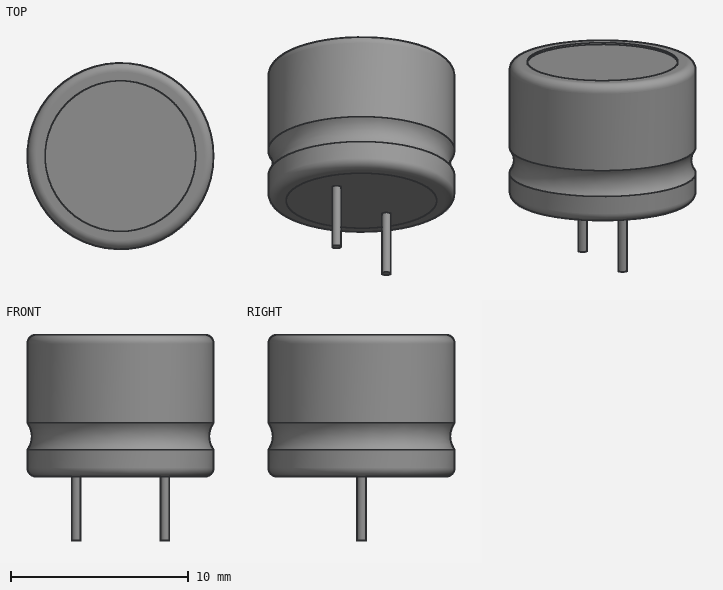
import cadquery as cq

total_height = 11.6
case_height = 8.0
case_radius = 5.25
edge_radius = 0.5

groove_bottom = 1.52
groove_top = 3.03
groove_depth = 0.24

core_radius = 4.25
core_recess = 0.1

lead_radius = 0.25
lead_spacing = 5.0
lead_length = total_height - case_height


def make_sleeve():
    """Outer sleeve with rounded rims, a crimp groove and a plain bore."""
    groove_middle = (groove_bottom + groove_top) / 2
    blank = (
        cq.Workplane("XZ")
        .lineTo(case_radius, 0)
        .lineTo(case_radius, groove_bottom)
        .threePointArc((case_radius - groove_depth, groove_middle), (case_radius, groove_top))
        .lineTo(case_radius, case_height)
        .lineTo(0, case_height)
        .close()
        .revolve(360, (0, 0, 0), (0, 1, 0))
    )
    rounded = blank.faces("<Z or >Z").edges().fillet(edge_radius)
    bore = cq.Workplane("XY").circle(core_radius).extrude(case_height)
    return rounded.cut(bore)


def make_core():
    """Cylinder filling the sleeve's bore up to the recessed top."""
    return cq.Workplane("XY").circle(core_radius).extrude(case_height - core_recess)


def make_lead(x):
    """Straight round lead hanging from the underside of the core."""
    return cq.Workplane("XY").center(x, 0).circle(lead_radius).extrude(-lead_length)


sleeve = make_sleeve()
core = make_core()
leads = []
for side in (-1, 1):
    leads.append(make_lead(side * lead_spacing / 2).val())

result = cq.Compound.makeCompound([sleeve.val(), core.val(), *leads])